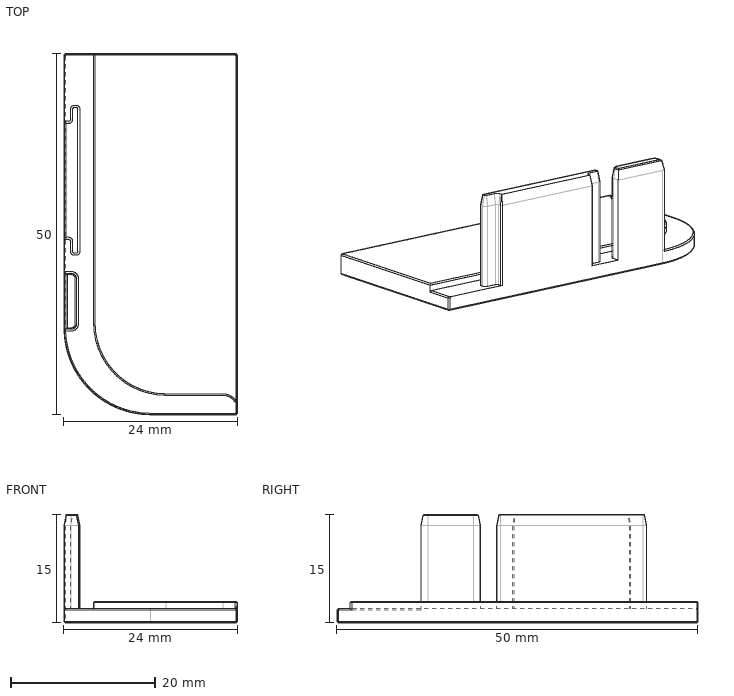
import cadquery as cq
import math

length_x = 24.0
length_y = 50.0
height = 15.0

base_top = 2.0
pad_top = 3.0
base_corner_radius = 12.0
edge_chamfer = 0.2
pad_left = 4.1
pad_front = 2.7
pad_corner_radius = 10.0
pad_lip_radius = 2.0
pad_lip_end_flat = 0.3

wall_foot = base_top - edge_chamfer

tip_height = 1.5
tip_inset = 0.3
tip_start = height - tip_height
tip_angle = math.degrees(math.atan(tip_inset / tip_height))

long_wall_start = 22.1
long_wall_end = 42.85
long_wall_thickness = 2.2
tongue_length = 2.2
tongue_recess = 0.9
tongue_radius = 0.5
step_chamfer = 0.2
step_fillet = 0.3

short_wall_start = 11.6
short_wall_end = 19.85
short_wall_thickness = 2.0
short_wall_radius = 1.0
short_wall_top_chamfer = 0.15

diagonal = math.sqrt(0.5)


def make_base():
    """Flat plate with one large rounded corner at the front left.

    It is built as a rear and a front block, so that the top edge is chamfered along
    the rounded corner but stays sharp along the straight left side, flush with the walls.
    """
    r = base_corner_radius
    rear = (
        cq.Workplane("XY")
        .moveTo(0, r)
        .lineTo(length_x, r)
        .lineTo(length_x, length_y - edge_chamfer)
        .lineTo(length_x - edge_chamfer, length_y)
        .lineTo(edge_chamfer, length_y)
        .lineTo(0, length_y - edge_chamfer)
        .close()
        .extrude(base_top)
    )
    rear = rear.faces("<Z").edges("not <Y").chamfer(edge_chamfer)
    rear = rear.faces(">Z").edges("not (<X or <Y)").chamfer(edge_chamfer)
    front = (
        cq.Workplane("XY")
        .moveTo(0, r)
        .threePointArc((r * (1 - diagonal), r * (1 - diagonal)), (r, 0))
        .lineTo(length_x - edge_chamfer, 0)
        .lineTo(length_x, edge_chamfer)
        .lineTo(length_x, r)
        .close()
        .extrude(base_top)
    )
    front = front.faces("<Z or >Z").edges("not >Y").chamfer(edge_chamfer)
    return rear.union(front)


def make_pad():
    """Raised pad whose front edge curves outward in a lip at the right end."""
    r = pad_corner_radius
    arc_inset = r * (1 - diagonal)
    pad_foot = base_top - edge_chamfer
    lip_run = pad_lip_radius - pad_lip_end_flat
    lip_start_x = length_x - pad_lip_radius

    def lip_drop(run):
        return pad_lip_radius - math.sqrt(pad_lip_radius**2 - run**2)

    lip_end_x = lip_start_x + lip_run
    lip_end_y = pad_front - lip_drop(lip_run)
    lip_mid = (lip_start_x + lip_run / 2, pad_front - lip_drop(lip_run / 2))
    pad = (
        cq.Workplane("XY")
        .workplane(offset=pad_foot)
        .moveTo(pad_left, length_y)
        .lineTo(pad_left, pad_front + r)
        .threePointArc((pad_left + arc_inset, pad_front + arc_inset), (pad_left + r, pad_front))
        .lineTo(lip_start_x, pad_front)
        .threePointArc(lip_mid, (lip_end_x, lip_end_y))
        .lineTo(length_x, lip_end_y + pad_lip_end_flat)
        .lineTo(length_x, length_y - edge_chamfer)
        .lineTo(length_x - edge_chamfer, length_y)
        .close()
        .extrude(pad_top - pad_foot)
    )
    return pad.faces(">Z").chamfer(edge_chamfer)


def raise_wall(outline):
    """Raise a closed outline from the base into a wall with a drafted tip."""
    body = outline.extrude(tip_start - wall_foot)
    tip = body.faces(">Z").wires().toPending().extrude(tip_height, taper=tip_angle, combine=False)
    return body.union(tip)


def make_long_wall():
    """Wall flush with the left side, stepping back to a rounded tongue at each end."""
    step_start = long_wall_start + tongue_length
    step_end = long_wall_end - tongue_length
    prism_height = 1.0
    prism = (
        cq.Workplane("XY")
        .workplane(offset=wall_foot)
        .polyline([
            (0, step_start),
            (tongue_recess, step_start),
            (tongue_recess, long_wall_start),
            (long_wall_thickness, long_wall_start),
            (long_wall_thickness, long_wall_end),
            (tongue_recess, long_wall_end),
            (tongue_recess, step_end),
            (0, step_end),
        ])
        .close()
        .extrude(prism_height)
    )
    prism = prism.edges("|Z and (<Y or >Y)").fillet(tongue_radius)
    for y in (step_start, step_end):
        middle = (tongue_recess, y, wall_foot + prism_height / 2)
        prism = prism.edges(cq.selectors.NearestToPointSelector(middle)).fillet(step_fillet)
    prism = prism.edges("|Z and <X").chamfer(step_chamfer)
    outline = prism.faces("<Z").wires().val()
    return raise_wall(cq.Workplane("XY").workplane(offset=wall_foot).add(outline).toPending())


def make_short_wall():
    """Wall flush with the left side, with two rounded inner corners and a chamfered top."""
    r = short_wall_radius
    t = short_wall_thickness
    arc_inset = r * (1 - diagonal)
    outline = (
        cq.Workplane("XY")
        .workplane(offset=wall_foot)
        .moveTo(0, short_wall_start)
        .lineTo(t - r, short_wall_start)
        .threePointArc((t - arc_inset, short_wall_start + arc_inset), (t, short_wall_start + r))
        .lineTo(t, short_wall_end - r)
        .threePointArc((t - arc_inset, short_wall_end - arc_inset), (t - r, short_wall_end))
        .lineTo(0, short_wall_end)
        .close()
    )
    wall = raise_wall(outline).faces(">Z").chamfer(short_wall_top_chamfer)
    corner = base_corner_radius
    column = cq.Workplane("XY").center(corner, corner).circle(corner).extrude(height)
    straight_side = cq.Workplane("XY").box(corner, length_y, height, centered=False).translate((0, corner, 0))
    return wall.intersect(column.union(straight_side))


result = make_base().union(make_pad()).union(make_long_wall()).union(make_short_wall())